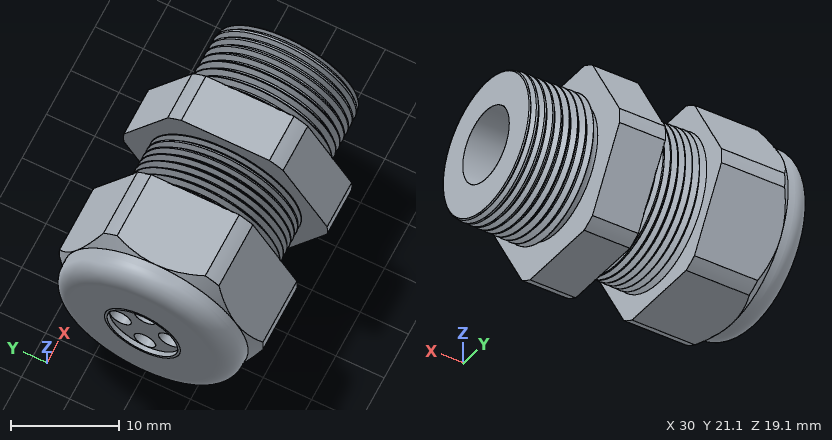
import cadquery as cq
import math


cap_end = 10.85
collar_start = 17.05
collar_end = 22.12
total_length = 29.97

across_flats = 19.05
corner_radius = 10.565
flat_radius = across_flats / 2

dome_radius = 2.0
shoulder_x = 2.82
bevel_length = 1.05

crest_taper = 0.15

mid_crest_radius = 8.03
mid_root_radius = 7.4
mid_turns = 8
mid_pitch = (collar_start - cap_end) / mid_turns

entry_crest_radius = 7.6
entry_root_radius = 7.07
entry_pitch = 0.885
entry_turns = 7
entry_start = 23.05
last_crest_x = 29.2
first_crest_x = last_crest_x - (entry_turns - 1) * entry_pitch
neck_radius = 6.85

tip_x = 29.85
tip_radius = 7.37
end_radius = 7.25

insert_radius = 3.93
insert_length = cap_end
recess_radius = 3.65
recess_depth = 0.5
cable_hole_diameter = 2.22
cable_hole_offset = 2.52
cable_hole_count = 4


def hex_prism(start, end):
    """Hexagonal bar along X with flats on top and bottom and turned-down corners."""
    hexagon_diameter = across_flats / math.cos(math.pi / 6)
    length = end - start
    plane = cq.Workplane("YZ", origin=(start, 0, 0))
    turned_bar = plane.circle(corner_radius).extrude(length)
    return plane.polygon(6, hexagon_diameter).extrude(length).intersect(turned_bar)


def revolve_about_x(profile):
    return profile.close().revolve(360, (0, 0, 0), (1, 0, 0))


def make_cap():
    """Hexagonal cap, turned to a rounded dome and a conical bevel at its front."""
    arc_reach = dome_radius * math.sin(math.pi / 4)
    envelope = revolve_about_x(
        cq.Workplane("XY")
        .lineTo(0, flat_radius - dome_radius)
        .threePointArc(
            (dome_radius - arc_reach, flat_radius - dome_radius + arc_reach),
            (dome_radius, flat_radius),
        )
        .lineTo(shoulder_x, flat_radius)
        .lineTo(shoulder_x + bevel_length, corner_radius)
        .lineTo(cap_end, corner_radius)
        .lineTo(cap_end, 0)
    )
    return hex_prism(0, cap_end).intersect(envelope)


def taper_crests(thread, start, end, crest_radius):
    """Turn the ridges of a thread down to a slight cone."""
    cone = revolve_about_x(
        cq.Workplane("XY")
        .moveTo(start, 0)
        .lineTo(start, crest_radius)
        .lineTo(end, crest_radius - crest_taper)
        .lineTo(end, 0)
    )
    return thread.intersect(cone)


def make_middle_thread():
    """Ring-shaped V grooves with a crest at the cap and at the collar."""
    profile = cq.Workplane("XY").moveTo(cap_end, 0).lineTo(cap_end, mid_crest_radius)
    for turn in range(mid_turns):
        crest_x = cap_end + turn * mid_pitch
        profile = profile.lineTo(crest_x + mid_pitch / 2, mid_root_radius)
        profile = profile.lineTo(crest_x + mid_pitch, mid_crest_radius)
    thread = revolve_about_x(profile.lineTo(collar_start, 0))
    return taper_crests(thread, cap_end, collar_start, mid_crest_radius)


def make_entry_thread():
    """Neck that curves up from the collar to the first ridge, then V-shaped rings to the end."""
    neck_length = entry_start - collar_end
    neck_rise = entry_crest_radius - neck_radius
    neck_curve_radius = (neck_length**2 + neck_rise**2) / (2 * neck_rise)
    profile = (
        cq.Workplane("XY")
        .moveTo(collar_end, 0)
        .lineTo(collar_end, neck_radius)
        .radiusArc((entry_start, entry_crest_radius), -neck_curve_radius)
    )
    for turn in range(entry_turns):
        crest_x = first_crest_x + turn * entry_pitch
        profile = profile.lineTo(crest_x - entry_pitch / 2, entry_root_radius)
        profile = profile.lineTo(crest_x, entry_crest_radius)
    profile = (
        profile.lineTo(last_crest_x + entry_pitch / 2, entry_root_radius)
        .lineTo(tip_x, tip_radius)
        .lineTo(total_length, end_radius)
        .lineTo(total_length, 0)
    )
    thread = revolve_about_x(profile)
    return taper_crests(thread, collar_end, total_length, entry_crest_radius)


def make_housing():
    """Cap, threads and hexagonal collar in one piece, with a straight bore for the insert."""
    bore = cq.Workplane("YZ").circle(insert_radius).extrude(total_length)
    return (
        make_cap()
        .union(make_middle_thread())
        .union(hex_prism(collar_start, collar_end))
        .union(make_entry_thread())
        .cut(bore)
    )


def make_insert():
    """Round plug flush with the cap face, with a shallow recess and four cable holes."""
    plug = cq.Workplane("YZ").circle(insert_radius).extrude(insert_length)
    recess = cq.Workplane("YZ").circle(recess_radius).extrude(recess_depth)
    cable_holes = (
        cq.Workplane("YZ")
        .polarArray(cable_hole_offset, 0, 360, cable_hole_count)
        .circle(cable_hole_diameter / 2)
        .extrude(insert_length)
    )
    return plug.cut(recess).cut(cable_holes)


housing = make_housing()
insert = make_insert()
result = cq.Compound.makeCompound([housing.val(), insert.val()])